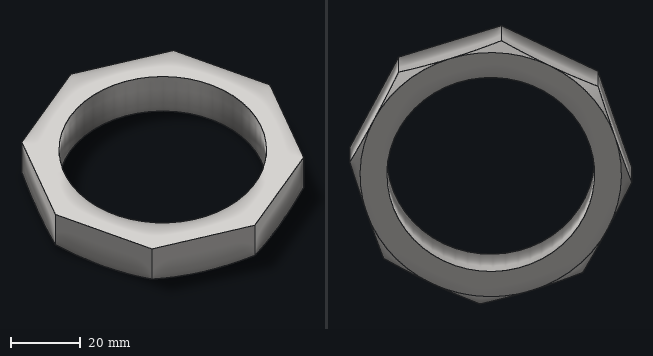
import cadquery as cq
import math

across_flats = 75.0
height = 14.0
bore_diameter = 59.55
chamfer_angle = 30.0

side_count = 8
flat_radius = across_flats / 2
half_side_angle = math.pi / side_count
corner_radius = flat_radius / math.cos(half_side_angle)
chamfer_height = (corner_radius - flat_radius) * math.tan(math.radians(chamfer_angle))


def octagon_ring():
    """Octagonal ring with flats facing the X and Y axes."""
    half_side_degrees = math.degrees(half_side_angle)
    return (
        cq.Workplane("XY")
        .polygon(side_count, 2 * corner_radius)
        .extrude(height)
        .rotate((0, 0, 0), (0, 0, 1), half_side_degrees)
        .faces(">Z")
        .workplane(origin=(0, 0, height))
        .hole(bore_diameter)
    )


def corner_chamfer_cutter():
    """Ring of material outside the cone that touches the flats at the bottom."""
    return (
        cq.Workplane("XZ")
        .moveTo(flat_radius, 0)
        .lineTo(corner_radius, 0)
        .lineTo(corner_radius, chamfer_height)
        .close()
        .revolve(360, (0, 0, 0), (0, 1, 0))
    )


result = octagon_ring().cut(corner_chamfer_cutter())